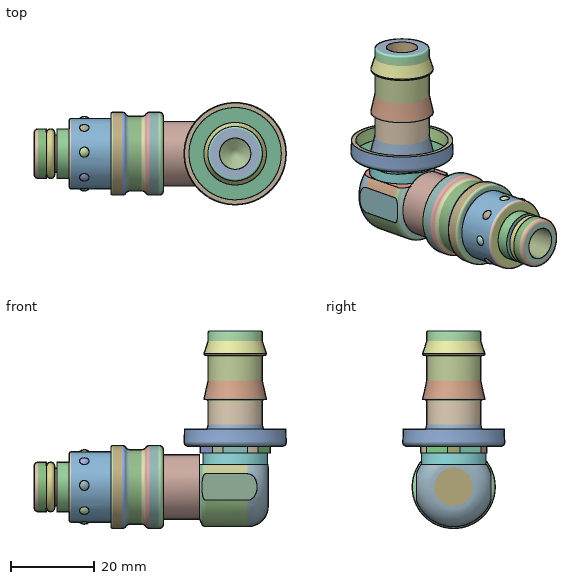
import cadquery as cq
import math


total_length = 60.6
flange_dia = 24.6
collar_dia = 20.0
total_height = 47.5
bore_dia = 7.5
tail_x = total_length - flange_dia / 2
tail_top_z = total_height - collar_dia / 2

plug_dia = 11.95
plug_edge_radius = 0.95
groove_dia = 9.0
groove_start = 2.95
groove_end = 5.45
ring_thickness = 2.0
sleeve_dia = 16.95
sleeve_start = 8.4
sleeve_edge_radius = 0.55
waist_dia = 18.0
collar_start = 18.4
collar_end = 31.1
collar_front_radius = 0.55
collar_back_radius = 1.1
collar_flat_length = 2.2
waist_start = 22.95
waist_end = 25.9
shank_dia = 15.6

bump_count = 8
bump_x = 12.05
bump_sphere_radius = 1.6
bump_height = 0.5
bump_turn = 2.5

elbow_dia = 19.1
elbow_start = 39.75
elbow_cone_end = 40.3
elbow_cone_dia = 17.95
elbow_full_start = 41.2
elbow_end_radius = 4.95
elbow_flats = 18.0
elbow_top_z = 5.45

hex_flats = 15.95
hex_corner_dia = 16.95
hex_bottom_z = 8.1
flange_bottom_z = 9.75
flange_top_z = 13.9
flange_edge_radius = 1.0
flange_top_dia = 24.35
cup_dia = 22.2
cup_floor_z = 10.6

tail_dia = 13.1
tail_edge_radius = 0.5
barb_dia = 15.0
middle_barb_length = 4.35
root_barb_start_z = 14.9
root_barb_length = 3.9
root_undercut_dia = 14.35
middle_barb_start_z = 25.5
top_barb_start_z = 35.0
top_barb_length = 2.95
top_barb_edge_radius = 0.5
barb_land = 0.2
barb_root_radius = 0.35

drill_tip_angle = 118.0
plug_bore_depth = 38.8
tail_bore_end_z = 6.05

elbow_end = tail_x + hex_flats / 2


def spin_about_x(profile):
    """Revolve a closed profile, drawn as (x, radius), about the plug axis."""
    return profile.close().revolve(360, (0, 0, 0), (1, 0, 0))


def spin_about_tail(profile):
    """Revolve a closed profile, drawn as (radius, z), about the tail axis."""
    return profile.close().revolve(360, (0, 0, 0), (0, 1, 0)).translate((tail_x, 0, 0))


def tail_cylinder(diameter, bottom_z, top_z):
    return (
        cq.Workplane("XY", origin=(tail_x, 0, bottom_z))
        .circle(diameter / 2)
        .extrude(top_z - bottom_z)
    )


def step_up(profile, x, radius, edge_radius):
    """Continue an (x, radius) profile up a face at x and round over onto a larger radius."""
    return (
        profile.lineTo(x, radius - edge_radius)
        .tangentArcPoint((x + edge_radius, radius), relative=False)
    )


def make_plug():
    """Nose, O-ring groove, sleeve, waisted collar and shank, ending at the elbow."""
    plug_r = plug_dia / 2
    groove_r = groove_dia / 2
    sleeve_r = sleeve_dia / 2
    collar_r = collar_dia / 2
    waist_r = waist_dia / 2
    mid_r = (collar_r + waist_r) / 2
    front_flat_end = collar_start + collar_front_radius + collar_flat_length
    back_flat_end = collar_end - collar_back_radius
    back_flat_start = back_flat_end - collar_flat_length
    front_bend = (front_flat_end + waist_start) / 2
    back_bend = (waist_end + back_flat_start) / 2
    profile = step_up(cq.Workplane("XY"), 0, plug_r, plug_edge_radius)
    profile = (
        profile.lineTo(groove_start, plug_r)
        .lineTo(groove_start, groove_r)
        .lineTo(groove_end, groove_r)
        .lineTo(groove_end, plug_r)
        .lineTo(sleeve_start, plug_r)
    )
    profile = step_up(profile, sleeve_start, sleeve_r, sleeve_edge_radius)
    profile = step_up(profile.lineTo(collar_start, sleeve_r), collar_start, collar_r, collar_front_radius)
    profile = (
        profile.lineTo(front_flat_end, collar_r)
        .tangentArcPoint((front_bend, mid_r), relative=False)
        .tangentArcPoint((waist_start, waist_r), relative=False)
        .lineTo(waist_end, waist_r)
        .tangentArcPoint((back_bend, mid_r), relative=False)
        .tangentArcPoint((back_flat_start, collar_r), relative=False)
        .lineTo(back_flat_end, collar_r)
        .tangentArcPoint((collar_end, collar_r - collar_back_radius), relative=False)
        .lineTo(collar_end, shank_dia / 2)
        .lineTo(elbow_start, shank_dia / 2)
        .lineTo(elbow_start, 0)
    )
    return spin_about_x(profile)


def make_o_ring():
    ring_r = ring_thickness / 2
    centre = (groove_start + ring_r, plug_dia / 2 - ring_r)
    section = cq.Workplane("XY").center(*centre).circle(ring_r)
    return section.revolve(360, (0, -centre[1], 0), (1, -centre[1], 0))


def make_bumps():
    centre_r = sleeve_dia / 2 + bump_height - bump_sphere_radius
    bumps = cq.Workplane("XY")
    for i in range(bump_count):
        angle = math.radians(i * 360 / bump_count - bump_turn)
        centre = (bump_x, centre_r * math.cos(angle), centre_r * math.sin(angle))
        bumps = bumps.add(cq.Workplane("XY").sphere(bump_sphere_radius).translate(centre))
    return bumps.combine()


def make_elbow():
    """Round body along X with a coned entry and domed end, flat on both sides and on top."""
    elbow_r = elbow_dia / 2
    profile = (
        cq.Workplane("XY")
        .moveTo(elbow_end, 0)
        .lineTo(elbow_end, elbow_r - elbow_end_radius)
        .tangentArcPoint((elbow_end - elbow_end_radius, elbow_r), relative=False)
        .lineTo(elbow_full_start, elbow_r)
        .tangentArcPoint((elbow_cone_end, elbow_cone_dia / 2), relative=False)
        .lineTo(elbow_start, shank_dia / 2)
        .lineTo(elbow_start, 0)
    )
    height = elbow_top_z + elbow_r
    envelope = cq.Workplane("XY").box(total_length, elbow_flats, height, centered=(False, True, False))
    return spin_about_x(profile).intersect(envelope.translate((0, 0, -elbow_r)))


def make_hexagon():
    height = flange_bottom_z - hex_bottom_z
    corner_circle_dia = hex_flats / math.cos(math.pi / 6)
    hexagon = (
        cq.Workplane("XY", origin=(tail_x, 0, hex_bottom_z))
        .polygon(6, corner_circle_dia)
        .extrude(height)
    )
    return hexagon.intersect(tail_cylinder(hex_corner_dia, hex_bottom_z, flange_bottom_z))


def make_flange():
    """Cup-shaped flange, narrowing slightly towards its open top."""
    flange_r = flange_dia / 2
    profile = (
        cq.Workplane("XZ")
        .moveTo(0, flange_bottom_z)
        .lineTo(flange_r - flange_edge_radius, flange_bottom_z)
        .tangentArcPoint((flange_r, flange_bottom_z + flange_edge_radius), relative=False)
        .lineTo(flange_top_dia / 2, flange_top_z)
        .lineTo(cup_dia / 2, flange_top_z)
        .lineTo(cup_dia / 2, cup_floor_z)
        .lineTo(0, cup_floor_z)
    )
    return spin_about_tail(profile)


def make_tail():
    """Hose tail with three barbs; the lowest one stands on a short neck in the cup."""
    tail_r = tail_dia / 2
    barb_r = barb_dia / 2
    top_barb_end_z = top_barb_start_z - top_barb_length
    top_barb_under_z = top_barb_end_z - top_barb_edge_radius
    middle_barb_end_z = middle_barb_start_z - middle_barb_length
    middle_barb_under_z = middle_barb_end_z - barb_land
    root_barb_end_z = root_barb_start_z - root_barb_length
    fillet_r = tail_r + barb_root_radius
    profile = (
        cq.Workplane("XZ")
        .moveTo(0, flange_bottom_z)
        .lineTo(root_undercut_dia / 2, flange_bottom_z)
        .lineTo(root_undercut_dia / 2, root_barb_end_z)
        .lineTo(barb_r, root_barb_end_z)
        .lineTo(tail_r, root_barb_start_z)
        .lineTo(tail_r, middle_barb_under_z - barb_root_radius)
        .tangentArcPoint((fillet_r, middle_barb_under_z), relative=False)
        .lineTo(barb_r, middle_barb_under_z)
        .lineTo(barb_r, middle_barb_end_z)
        .lineTo(tail_r, middle_barb_start_z)
        .lineTo(tail_r, top_barb_under_z - barb_root_radius)
        .tangentArcPoint((fillet_r, top_barb_under_z), relative=False)
        .lineTo(barb_r - top_barb_edge_radius, top_barb_under_z)
        .tangentArcPoint((barb_r, top_barb_end_z), relative=False)
        .lineTo(tail_r, top_barb_start_z)
        .lineTo(tail_r, tail_top_z - tail_edge_radius)
        .tangentArcPoint((tail_r - tail_edge_radius, tail_top_z), relative=False)
        .lineTo(0, tail_top_z)
    )
    return spin_about_tail(profile)


def make_bores():
    """Two blind drillings with conical ends, one from each open end."""
    bore_r = bore_dia / 2
    tip_length = bore_r / math.tan(math.radians(drill_tip_angle / 2))
    plug_bore = spin_about_x(
        cq.Workplane("XY")
        .lineTo(0, bore_r)
        .lineTo(plug_bore_depth, bore_r)
        .lineTo(plug_bore_depth + tip_length, 0)
    )
    tail_bore = spin_about_tail(
        cq.Workplane("XZ")
        .moveTo(0, tail_top_z)
        .lineTo(bore_r, tail_top_z)
        .lineTo(bore_r, tail_bore_end_z)
        .lineTo(0, tail_bore_end_z - tip_length)
    )
    return plug_bore.union(tail_bore)


neck = tail_cylinder(shank_dia, 0, hex_bottom_z)

result = (
    make_plug()
    .union(make_o_ring())
    .union(make_bumps())
    .union(make_elbow())
    .union(neck)
    .union(make_hexagon())
    .union(make_flange())
    .union(make_tail())
    .cut(make_bores())
)